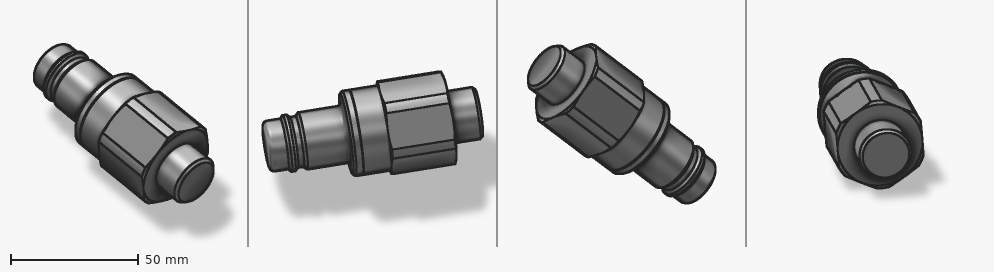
import cadquery as cq
import math

length = 85.0
ring_start = 7.2
ring_crest_start = 8.4
ring_crest_end = 9.8
ring_end = 11.05
groove_end = 13.35
shank_start = 14.6
collar_start = 32.05
score_end = 35.95
nut_start = 46.9
nut_end = 73.0

nose_diameter = 20.3
ring_diameter = 22.6
shank_diameter = 22.9
collar_diameter = 34.0
tail_diameter = 20.8

nose_fillet = 2.1
shank_fillet = 2.0
collar_chamfer = 1.0
tail_chamfer_length = 1.3
tail_chamfer_depth = 1.1

score_width = 0.25
score_depth = 0.2

nut_across_flats = 34.0
nut_corner_diameter = 37.0
nut_tilt = 4.4
nut_chamfer_length = 0.5


def turned_body():
    """Revolve the stepped nose, shank, collar and tail about the X axis."""
    nose_radius = nose_diameter / 2
    ring_radius = ring_diameter / 2
    shank_radius = shank_diameter / 2
    collar_radius = collar_diameter / 2
    tail_radius = tail_diameter / 2
    arc_offset = math.sqrt(0.5)
    nose_mid = (
        nose_fillet * (1 - arc_offset),
        nose_radius - nose_fillet * (1 - arc_offset),
    )
    shank_mid = (
        collar_start - shank_fillet * (1 - arc_offset),
        shank_radius + shank_fillet * (1 - arc_offset),
    )
    profile = (
        cq.Workplane("XY")
        .lineTo(0, nose_radius - nose_fillet)
        .threePointArc(nose_mid, (nose_fillet, nose_radius))
        .lineTo(ring_start, nose_radius)
        .lineTo(ring_crest_start, ring_radius)
        .lineTo(ring_crest_end, ring_radius)
        .lineTo(ring_end, nose_radius)
        .lineTo(groove_end, nose_radius)
        .lineTo(shank_start, shank_radius)
        .lineTo(collar_start - shank_fillet, shank_radius)
        .threePointArc(shank_mid, (collar_start, shank_radius + shank_fillet))
        .lineTo(collar_start, collar_radius - collar_chamfer)
        .lineTo(collar_start + collar_chamfer, collar_radius)
        .lineTo(score_end - score_width, collar_radius)
        .lineTo(score_end, collar_radius - score_depth)
        .lineTo(score_end, collar_radius)
        .lineTo(nut_end, collar_radius)
        .lineTo(nut_end, tail_radius)
        .lineTo(length - tail_chamfer_length, tail_radius)
        .lineTo(length, tail_radius - tail_chamfer_depth)
        .lineTo(length, 0)
        .close()
    )
    return profile.revolve(360, (0, 0), (1, 0))


def hexagonal_nut():
    """Trim a tilted hexagonal prism with a cylinder chamfered at both ends."""
    nut_length = nut_end - nut_start
    flat_radius = nut_across_flats / 2
    corner_radius = nut_corner_diameter / 2
    prism = (
        cq.Workplane("YZ", origin=(nut_start, 0, 0))
        .polygon(6, nut_across_flats / math.cos(math.pi / 6))
        .extrude(nut_length)
        .rotate((0, 0, 0), (1, 0, 0), 30 + nut_tilt)
    )
    envelope = (
        cq.Workplane("XY")
        .moveTo(nut_start, 0)
        .lineTo(nut_start, flat_radius)
        .lineTo(nut_start + nut_chamfer_length, corner_radius)
        .lineTo(nut_end - nut_chamfer_length, corner_radius)
        .lineTo(nut_end, flat_radius)
        .lineTo(nut_end, 0)
        .close()
        .revolve(360, (nut_start, 0), (nut_end, 0))
    )
    return prism.intersect(envelope)


result = turned_body().union(hexagonal_nut())